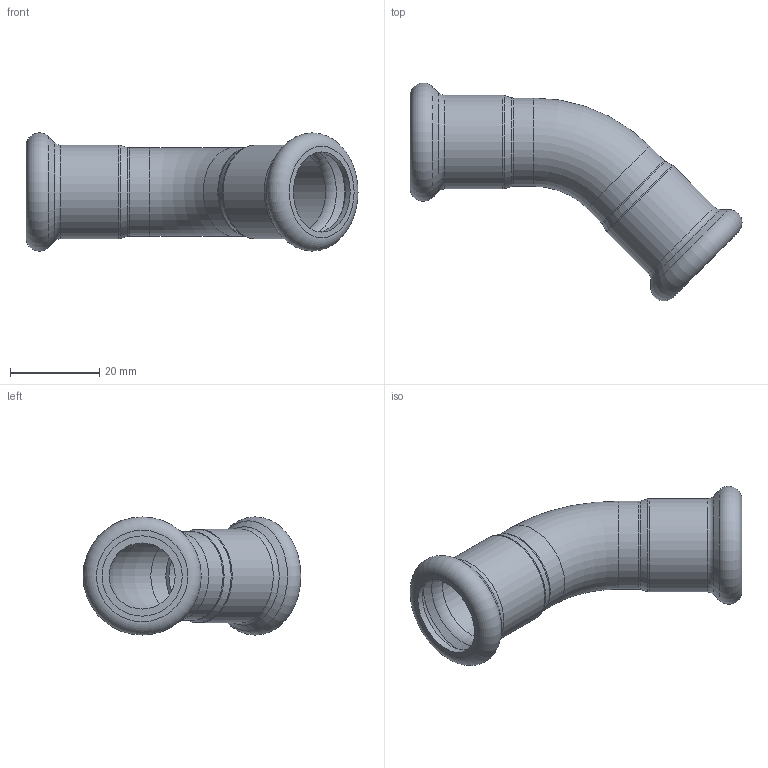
import cadquery as cq
import math


bend_angle = 45.0
bend_radius = 26.9
leg_length = 27.71
tube_radius = 19.8 / 2
wall = 1.5
bore_radius = tube_radius - wall

socket_radius = 21.0 / 2
socket_bore_radius = socket_radius - wall

neck_start = 20.95
neck_end = 22.95
neck_blend_radius = 1.0

stop_radius = 14.8 / 2
stop_start = neck_start
stop_end = neck_end

bead_outer_radius = 26.5 / 2
bead_roll_radius = 3.0
bead_centre_radius = bead_outer_radius - bead_roll_radius
bead_cone_angle = math.radians(45.0)
bead_blend_radius = 1.9


def bead_blend_end(roll_radius, blend_radius, end_radius):
    """Axial end of the blend joining the bead cone to a cylinder of end_radius."""
    cone_start_depth = bead_roll_radius + roll_radius * math.sin(bead_cone_angle)
    cone_start_radius = bead_centre_radius + roll_radius * math.cos(bead_cone_angle)
    blend_start_radius = end_radius + blend_radius * (1 - math.cos(bead_cone_angle))
    cone_length = (cone_start_radius - blend_start_radius) / math.tan(bead_cone_angle)
    return cone_start_depth + cone_length + blend_radius * math.sin(bead_cone_angle)


def add_bead(profile, roll_radius, blend_radius, end_radius):
    """Draw roll, cone and blend, from the front of the roll to the cylinder."""
    blend_end = bead_blend_end(roll_radius, blend_radius, end_radius)

    def roll_point(angle):
        depth = bead_roll_radius + roll_radius * math.sin(angle)
        return (depth, bead_centre_radius + roll_radius * math.cos(angle))

    def blend_point(angle):
        depth = blend_end - blend_radius * math.sin(angle)
        return (depth, end_radius + blend_radius * (1 - math.cos(angle)))

    return (
        profile.threePointArc(roll_point(0.0), roll_point(bead_cone_angle))
        .lineTo(*blend_point(bead_cone_angle))
        .threePointArc(blend_point(bead_cone_angle / 2), (blend_end, end_radius))
    )


def revolve_about_x(profile):
    return profile.close().revolve(360, (0, 0, 0), (1, 0, 0))


def add_neck(profile):
    """Draw the neck cone with a tangent blend at each end."""
    neck_angle = math.atan2(socket_radius - tube_radius, neck_end - neck_start)
    tangent = neck_blend_radius * math.tan(neck_angle / 2)
    tangent_depth = tangent * math.cos(neck_angle)
    tangent_drop = tangent * math.sin(neck_angle)
    return (
        profile.lineTo(neck_start - tangent, socket_radius)
        .tangentArcPoint((neck_start + tangent_depth, socket_radius - tangent_drop), relative=False)
        .lineTo(neck_end - tangent_depth, tube_radius + tangent_drop)
        .tangentArcPoint((neck_end + tangent, tube_radius), relative=False)
    )


def make_leg_body():
    profile = cq.Workplane("XY").lineTo(0, bead_centre_radius)
    profile = add_bead(profile, bead_roll_radius, bead_blend_radius, socket_radius)
    profile = add_neck(profile)
    return revolve_about_x(profile.lineTo(leg_length, tube_radius).lineTo(leg_length, 0))


def make_leg_cavity():
    """Mouth, seal groove, socket bore, opening through the stop, and tube bore."""
    profile = (
        cq.Workplane("XY")
        .lineTo(0, socket_bore_radius)
        .lineTo(wall, socket_bore_radius)
        .lineTo(wall, bead_centre_radius)
    )
    profile = add_bead(profile, bead_roll_radius - wall, bead_blend_radius + wall, socket_bore_radius)
    profile = (
        profile.lineTo(stop_start, socket_bore_radius)
        .lineTo(stop_start, stop_radius)
        .lineTo(stop_end, stop_radius)
        .lineTo(stop_end, bore_radius)
        .lineTo(leg_length, bore_radius)
        .lineTo(leg_length, 0)
    )
    return revolve_about_x(profile)


def make_bend():
    section = cq.Workplane("YZ", origin=(leg_length, 0, 0)).circle(tube_radius).circle(bore_radius)
    return section.revolve(bend_angle, (-bend_radius, 0, 0), (-bend_radius, -1, 0))


def mirror_to_outlet(leg):
    """Mirror the inlet leg across the mid-bend plane."""
    half_angle = math.radians(bend_angle / 2)
    normal = (math.cos(half_angle), -math.sin(half_angle), 0)
    return leg.mirror(cq.Vector(*normal), (leg_length, -bend_radius, 0))


inlet = make_leg_body().cut(make_leg_cavity())
outlet = mirror_to_outlet(inlet)
result = inlet.union(make_bend()).union(outlet)